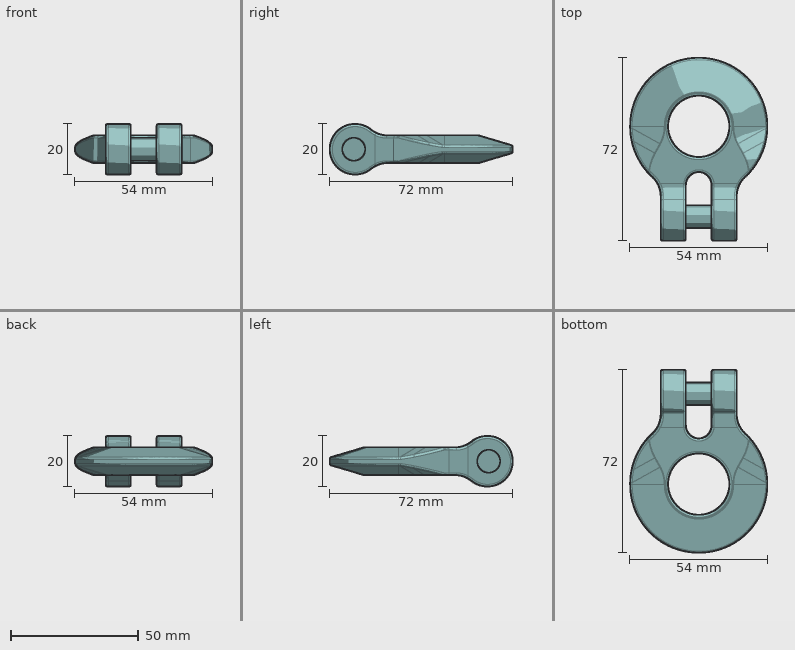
import cadquery as cq
import math

RING_RADIUS = 27.0
BORE_RADIUS = 12.0
PLATE_THICKNESS = 11.0
HALF_PLATE = PLATE_THICKNESS / 2
EDGE_FILLET = 1.0
CUT_MARGIN = 3.0

LUG_RADIUS = 10.0
LUG_CENTRE_Y = -35.0
FORK_HALF_WIDTH = 15.0
SLOT_RADIUS = 5.0
SLOT_CENTRE_Y = -23.0
NECK_RADIUS = 10.0

PIN_RADIUS = 4.5
PIN_CENTRE_Y = -35.5

CREST_RADIUS = 13.5
RIM_HALF_THICKNESS = 1.5
SLOPE_ANGLE = math.atan2(HALF_PLATE - RIM_HALF_THICKNESS, RING_RADIUS - CREST_RADIUS)
CREST_ROUNDING = 1.0
BEND_RADIUS = 14.0
BEND_ANGLE = 29.0
STRAIGHT_LENGTH = 4.2
RETURN_RADIUS = 20.0
RIM_OVERCUT = 0.4

ANGLE_TOLERANCE = 1e-4


def plate_outline():
    """Ring disc with a neck that blends into the parallel sides of the fork."""
    blend_x = FORK_HALF_WIDTH + NECK_RADIUS
    centre_distance = RING_RADIUS + NECK_RADIUS
    blend_y = -math.sqrt(centre_distance**2 - blend_x**2)
    on_ring = RING_RADIUS / centre_distance
    join = (blend_x * on_ring, blend_y * on_ring)
    mid_angle = (math.pi + math.atan2(-blend_y, -blend_x)) / 2
    middle = (
        blend_x + NECK_RADIUS * math.cos(mid_angle),
        blend_y + NECK_RADIUS * math.sin(mid_angle),
    )
    fork_end = LUG_CENTRE_Y - LUG_RADIUS
    return (
        cq.Workplane("XY")
        .moveTo(*join)
        .threePointArc((0, RING_RADIUS), (-join[0], join[1]))
        .threePointArc((-middle[0], middle[1]), (-FORK_HALF_WIDTH, blend_y))
        .lineTo(-FORK_HALF_WIDTH, fork_end)
        .lineTo(FORK_HALF_WIDTH, fork_end)
        .lineTo(FORK_HALF_WIDTH, blend_y)
        .threePointArc(middle, join)
        .close()
        .extrude(LUG_RADIUS, both=True)
    )


def side_profile():
    """Flat plate whose faces sweep up tangentially into the round lugs."""
    centre_distance = LUG_RADIUS + NECK_RADIUS
    blend_z = HALF_PLATE + NECK_RADIUS
    blend_y = LUG_CENTRE_Y + math.sqrt(centre_distance**2 - blend_z**2)
    on_lug = LUG_RADIUS / centre_distance
    join_y = LUG_CENTRE_Y + (blend_y - LUG_CENTRE_Y) * on_lug
    join_z = blend_z * on_lug
    mid_angle = (math.atan2(join_z - blend_z, join_y - blend_y) - math.pi / 2) / 2
    mid_y = blend_y + NECK_RADIUS * math.cos(mid_angle)
    mid_z = blend_z + NECK_RADIUS * math.sin(mid_angle)
    return (
        cq.Workplane("YZ")
        .moveTo(RING_RADIUS, HALF_PLATE)
        .lineTo(blend_y, HALF_PLATE)
        .threePointArc((mid_y, mid_z), (join_y, join_z))
        .threePointArc((LUG_CENTRE_Y - LUG_RADIUS, 0), (join_y, -join_z))
        .threePointArc((mid_y, -mid_z), (blend_y, -HALF_PLATE))
        .lineTo(RING_RADIUS, -HALF_PLATE)
        .close()
        .extrude(RING_RADIUS, both=True)
    )


def slope_section(width):
    """Area above the slope, running from the crest to -X, with a rounded start."""
    crest = -CREST_RADIUS
    half = SLOPE_ANGLE / 2
    tangent = CREST_ROUNDING * math.tan(half)
    arc_x = crest + tangent
    arc_z = HALF_PLATE - CREST_ROUNDING
    top = HALF_PLATE + CUT_MARGIN
    return (
        cq.Workplane("XZ")
        .moveTo(arc_x, HALF_PLATE)
        .threePointArc(
            (
                arc_x - CREST_ROUNDING * math.sin(half),
                arc_z + CREST_ROUNDING * math.cos(half),
            ),
            (
                crest - tangent * math.cos(SLOPE_ANGLE),
                HALF_PLATE - tangent * math.sin(SLOPE_ANGLE),
            ),
        )
        .lineTo(crest - width, HALF_PLATE - width * math.tan(SLOPE_ANGLE))
        .lineTo(crest - width, top)
        .lineTo(arc_x, top)
        .close()
    )


def left_slope_cutters():
    """Upper cuts of the left half, following an S-shaped crest from the ring to the neck."""
    width = RING_RADIUS - CREST_RADIUS + RIM_OVERCUT
    along_ring = slope_section(width).revolve(90, (0, 0), (0, -1))

    bend_x = -CREST_RADIUS - BEND_RADIUS
    bend = slope_section(width).revolve(BEND_ANGLE, (bend_x, 0), (bend_x, -1))

    straight = slope_section(width).extrude(STRAIGHT_LENGTH)
    return_x = -CREST_RADIUS + RETURN_RADIUS
    return_bend = (
        slope_section(width)
        .revolve(BEND_ANGLE, (return_x, 0), (return_x, 1))
        .translate((0, -STRAIGHT_LENGTH, 0))
    )
    turned = [
        cutter.rotate((bend_x, 0, 0), (bend_x, 0, 1), -BEND_ANGLE)
        for cutter in (straight, return_bend)
    ]
    return [along_ring, bend, *turned]


def cut_slopes(body):
    """Thin the ring toward its rim on both sides and both faces."""
    for cutter in left_slope_cutters():
        opposite = cutter.mirror("YZ")
        for upper in (cutter, opposite):
            body = body.cut(upper).cut(upper.mirror("XY"))
    return body


def fork_slot():
    """Round-ended slot that opens toward -Y between the lugs."""
    slot_length = SLOT_CENTRE_Y - LUG_CENTRE_Y + LUG_RADIUS
    round_end = cq.Workplane("XY").center(0, SLOT_CENTRE_Y).circle(SLOT_RADIUS)
    straight = (
        cq.Workplane("XY")
        .center(0, SLOT_CENTRE_Y - slot_length / 2)
        .rect(2 * SLOT_RADIUS, slot_length)
    )
    return round_end.extrude(LUG_RADIUS, both=True).union(straight.extrude(LUG_RADIUS, both=True))


def is_upright_wall(face):
    """True when the face stands parallel to Z at the middle of each of its edges."""
    middles = [edge.positionAt(0.5) for edge in face.Edges()]
    return all(abs(face.normalAt(point).z) < ANGLE_TOLERANCE for point in middles)


def round_wall_edges(body):
    """Fillet every edge where the outer and slot walls meet the upper and lower faces."""
    walls = body.faces().filter(is_upright_wall)
    return walls.edges("not |Z").fillet(EDGE_FILLET)


def make_shackle():
    """Ring with a two-lug fork, bored for the ring hole and for the pin."""
    body = plate_outline().intersect(side_profile())
    body = cut_slopes(body).cut(fork_slot())
    body = round_wall_edges(body)
    bore = cq.Workplane("XY").circle(BORE_RADIUS).extrude(PLATE_THICKNESS, both=True)
    body = body.cut(bore)
    for face_z in (HALF_PLATE, -HALF_PLATE):
        bore_edge = cq.NearestToPointSelector((0, 0, face_z))
        body = body.edges(bore_edge).fillet(EDGE_FILLET)
    return body.cut(make_pin())


def make_pin():
    """Plain round pin through both lugs, flush with their outer sides."""
    return (
        cq.Workplane("YZ", origin=(-FORK_HALF_WIDTH, PIN_CENTRE_Y, 0))
        .circle(PIN_RADIUS)
        .extrude(2 * FORK_HALF_WIDTH)
    )


shackle = make_shackle()
pin = make_pin()
result = cq.Compound.makeCompound([shackle.solids().val(), pin.val()])